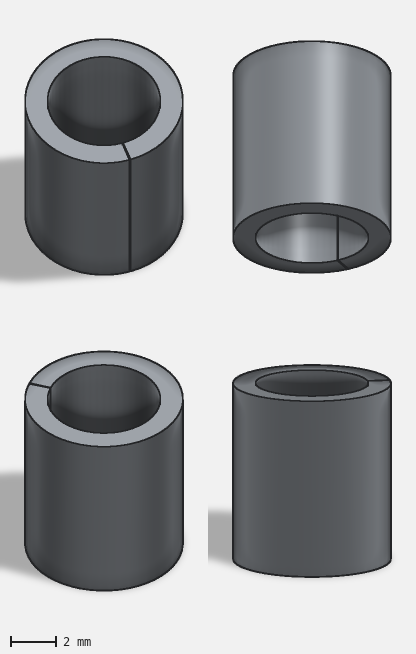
import cadquery as cq

length = 8.0
outer_diameter = 7.0
bore_diameter = 5.0
gap_angle = 1.0
full_turn = 360.0

outer_radius = outer_diameter / 2
bore_radius = bore_diameter / 2
wall = outer_radius - bore_radius

wall_section = (
    cq.Workplane("XZ")
    .center(bore_radius, 0)
    .rect(wall, length, centered=(False, True))
)

axis_start = (-bore_radius, 0)
axis_end = (-bore_radius, 1)

result = wall_section.revolve(full_turn - gap_angle, axis_start, axis_end)